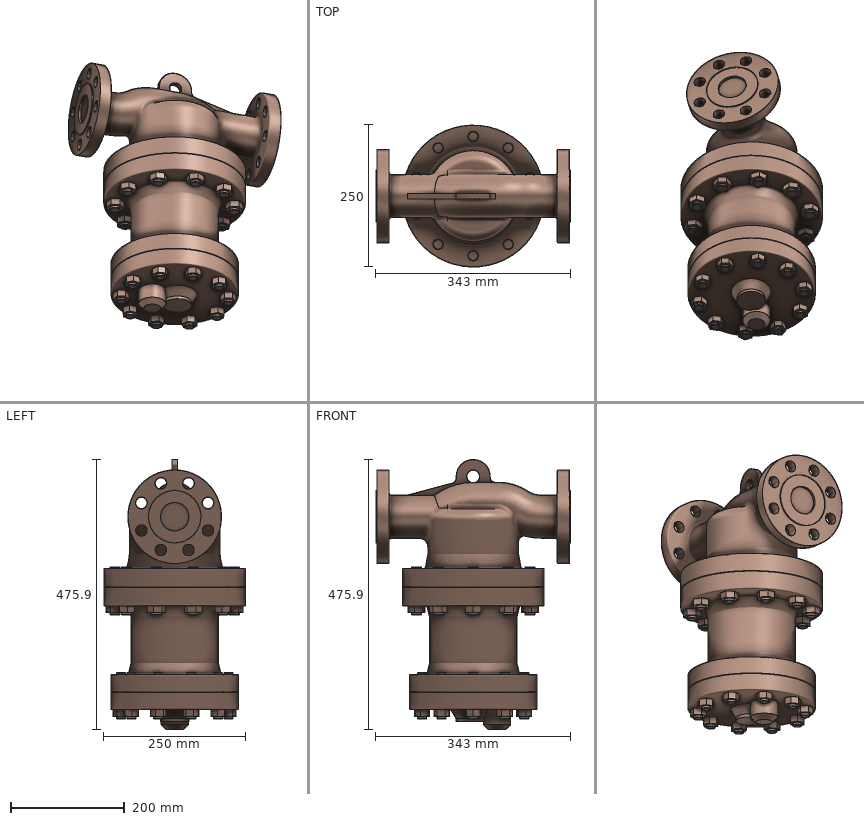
import cadquery as cq
import math


overall_length = 343.0
pipe_radius = 76.0 / 2
pipe_flange_radius = 165.0 / 2
pipe_flange_thickness = 21.5
pipe_flange_edge_fillet = 2.5
pipe_flange_root_fillet = 4.0
raised_face_radius = 92.1 / 2
raised_face_height = 2.0
bore_radius = 50.0 / 2
bore_depth = 5.0
flange_hole_radius = 20.0 / 2
flange_hole_circle_radius = 127.0 / 2
flange_hole_count = 8
pipe_end_x = overall_length / 2 - raised_face_height

arch_rise = 22.6
arch_flat_end_x = 44.0
outlet_bend_end_x = 121.0
outlet_inflection_fraction = 0.4
inlet_bend_radius = 77.0
inlet_bend_angle = 50.0

dome_top_z = 14.0
head_neck_z = -66.5
upper_flange_top_z = -91.0
upper_flange_bottom_z = -157.0
lower_flange_top_z = -278.0
lower_flange_bottom_z = -339.7
neck_height = 19.6

head_radius = 160.0 / 2
head_neck_end_radius = 168.0 / 2
dome_fillet = 20.0
dome_to_arch_fillet = 9.0
dome_to_arch_fillet_start_x = -45.0
head_to_inlet_fillet = 15.0
shell_radius = 154.0 / 2
shell_neck_end_radius = 162.5 / 2
neck_root_fillet = 3.0
upper_flange_radius = 250.0 / 2
lower_flange_radius = 225.0 / 2
flange_edge_fillet = 2.0
gasket_thickness = 1.0
upper_gasket_radius = 185.0 / 2
lower_gasket_radius = 165.0 / 2

bolt_count = 10
upper_bolt_circle_radius = 210.0 / 2
upper_bolt_radius = 18.0 / 2
upper_nut_flats = 27.0
upper_nut_height = 11.5
lower_bolt_circle_radius = 189.0 / 2
lower_bolt_radius = 16.0 / 2
lower_nut_flats = 24.0
lower_nut_height = 12.0
upper_bolt_head_rise = 2.5
lower_bolt_head_rise = 3.2
bolt_tip_length = 4.5
bolt_end_chamfer = 0.8

lug_thickness = 10.0
lug_radius = 30.0
lug_hole_radius = 22.2 / 2
lug_top_z = 100.8
lug_root_fillet = 9.0
lug_rib_start_x = -116.0
lug_rib_angle = 15.0

part_height = 475.95
boss_x = -5.0
boss_radius = 50.0 / 2
boss_flare_radius = 35.0
boss_flare_end_z = -355.5
boss_bottom_z = -361.0
plug_x = 42.0
plug_radius = 48.0 / 2
plug_chamfer = 9.0

fillet_middle_share = 1 - math.sqrt(0.5)

contact_tolerance = 0.001


def cylinder(radius, bottom_z, top_z, x=0.0):
    """Upright cylinder on the plane Y = 0."""
    return cq.Workplane("XY").circle(radius).extrude(top_z - bottom_z).translate((x, 0, bottom_z))


def lies_on(edge, solid):
    """True if the middle of the edge lies on the surface of the solid."""
    middle = cq.Vertex.makeVertex(*edge.positionAt(0.5).toTuple())
    return any(face.distance(middle) < contact_tolerance for face in solid.val().Faces())


def join_with_fillet(first, second, radius, fillet_start_x):
    """Union of two solids with their meeting line rounded wherever it runs beyond fillet_start_x."""
    joined = first.union(second)
    meeting_edges = [
        edge
        for edge in joined.edges().vals()
        if edge.BoundingBox().xmax > fillet_start_x + contact_tolerance
        and lies_on(edge, first)
        and lies_on(edge, second)
    ]
    return cq.Workplane(obj=joined.val().fillet(radius, meeting_edges))


def make_arch():
    """Outlet pipe that leaves the inlet side, crosses above the dome and drops to the outlet axis."""
    half_angle = math.radians(inlet_bend_angle / 2)
    full_angle = math.radians(inlet_bend_angle)
    bend_center_z = arch_rise - inlet_bend_radius
    bend_start = (
        -inlet_bend_radius * math.sin(full_angle),
        bend_center_z + inlet_bend_radius * math.cos(full_angle),
    )
    bend_middle = (
        -inlet_bend_radius * math.sin(half_angle),
        bend_center_z + inlet_bend_radius * math.cos(half_angle),
    )
    inflection = (
        arch_flat_end_x + outlet_inflection_fraction * (outlet_bend_end_x - arch_flat_end_x),
        arch_rise * (1 - outlet_inflection_fraction),
    )
    path = (
        cq.Workplane("XZ")
        .moveTo(*bend_start)
        .threePointArc(bend_middle, (0, arch_rise))
        .lineTo(arch_flat_end_x, arch_rise)
        .tangentArcPoint(inflection, relative=False)
        .tangentArcPoint((outlet_bend_end_x, 0), relative=False)
        .lineTo(pipe_end_x, 0)
    )
    start_plane = cq.Plane(
        origin=(bend_start[0], 0, bend_start[1]),
        xDir=(0, 1, 0),
        normal=(math.cos(full_angle), 0, math.sin(full_angle)),
    )
    return cq.Workplane(start_plane).circle(pipe_radius).sweep(path)


def make_head():
    """Domed head with the inlet running into it and the outlet arching over it."""
    dome = cylinder(head_radius, upper_flange_top_z, dome_top_z).faces(">Z").edges().fillet(dome_fillet)
    inlet = cq.Workplane("YZ").circle(pipe_radius).extrude(-pipe_end_x)
    dome_with_inlet = join_with_fillet(dome, inlet, head_to_inlet_fillet, -pipe_end_x)

    arch = make_arch()
    blend_zone = (
        cq.Workplane("XY")
        .box(overall_length, overall_length, overall_length, centered=(False, True, True))
        .translate((dome_to_arch_fillet_start_x, 0, 0))
    )
    dome_with_arch = join_with_fillet(
        dome.intersect(blend_zone), arch.intersect(blend_zone),
        dome_to_arch_fillet, dome_to_arch_fillet_start_x,
    )
    return dome_with_inlet.union(dome_with_arch).union(arch)


def make_neck(flange_z, small_z, small_radius, end_radius):
    """Conical neck that widens from small_z to a flange face, with a rounded root."""
    toward_shell = math.copysign(1.0, small_z - flange_z)
    root_z = flange_z + toward_shell * neck_root_fillet
    root_radius = end_radius + neck_root_fillet
    arc_offset = neck_root_fillet * fillet_middle_share
    profile = (
        cq.Workplane("XZ")
        .moveTo(0, small_z)
        .lineTo(small_radius, small_z)
        .lineTo(end_radius, root_z)
        .threePointArc((end_radius + arc_offset, flange_z + toward_shell * arc_offset), (root_radius, flange_z))
        .lineTo(0, flange_z)
        .close()
    )
    return profile.revolve(360, (0, 0, 0), (0, 1, 0))


def make_flange_pair(radius, gasket_radius, bottom_z, top_z):
    """Two bolted discs kept apart by a smaller gasket."""
    middle_z = (bottom_z + top_z) / 2
    half_gap = gasket_thickness / 2
    upper = cylinder(radius, middle_z + half_gap, top_z).faces(">Z").edges().fillet(flange_edge_fillet)
    lower = cylinder(radius, bottom_z, middle_z - half_gap).faces("<Z").edges().fillet(flange_edge_fillet)
    gasket = cylinder(gasket_radius, middle_z - half_gap, middle_z + half_gap)
    return upper.union(gasket).union(lower)


def make_bolts(circle_radius, bolt_radius, nut_flats, nut_height, head_rise, bottom_z, top_z):
    """Ring of studs through a flange pair, each with a hexagon nut underneath."""
    tip_z = bottom_z - nut_height - bolt_tip_length
    stud = cylinder(bolt_radius, tip_z, top_z + head_rise, x=circle_radius)
    stud = stud.faces("<Z or >Z").edges().chamfer(bolt_end_chamfer)
    nut_corners = nut_flats / math.cos(math.radians(30))
    nut = cq.Workplane("XY").center(circle_radius, 0).polygon(6, nut_corners).extrude(nut_height)
    bolt = stud.union(nut.translate((0, 0, bottom_z - nut_height)))
    spacing = 360.0 / bolt_count
    bolts = cq.Workplane("XY")
    for index in range(bolt_count):
        bolts = bolts.add(bolt.rotate((0, 0, 0), (0, 0, 1), spacing * (index + 0.5)).val())
    return bolts


def make_pipe_flange(side):
    """End flange with a raised face; side is -1 for the inlet and +1 for the outlet."""
    inner_x = pipe_end_x - pipe_flange_thickness
    root_arc = pipe_flange_root_fillet * fillet_middle_share
    edge_arc = pipe_flange_edge_fillet * fillet_middle_share
    profile = (
        cq.Workplane("XY")
        .moveTo(inner_x - pipe_flange_root_fillet, 0)
        .lineTo(inner_x - pipe_flange_root_fillet, pipe_radius)
        .threePointArc(
            (inner_x - root_arc, pipe_radius + root_arc),
            (inner_x, pipe_radius + pipe_flange_root_fillet),
        )
        .lineTo(inner_x, pipe_flange_radius - pipe_flange_edge_fillet)
        .threePointArc(
            (inner_x + edge_arc, pipe_flange_radius - edge_arc),
            (inner_x + pipe_flange_edge_fillet, pipe_flange_radius),
        )
        .lineTo(pipe_end_x, pipe_flange_radius)
        .lineTo(pipe_end_x, raised_face_radius)
        .lineTo(overall_length / 2, raised_face_radius)
        .lineTo(overall_length / 2, 0)
        .close()
    )
    flange = profile.revolve(360, (0, 0, 0), (1, 0, 0))
    holes = (
        cq.Workplane("YZ")
        .polarArray(flange_hole_circle_radius, 180.0 / flange_hole_count, 360, flange_hole_count)
        .circle(flange_hole_radius)
        .extrude(overall_length / 2)
    )
    flange = flange.cut(holes)
    if side < 0:
        flange = flange.mirror("YZ")
    return flange


def make_bore(side):
    """Shallow round recess in the centre of a raised face."""
    recess = cq.Workplane("YZ").circle(bore_radius).extrude(side * bore_depth)
    return recess.translate((side * (overall_length / 2 - bore_depth), 0, 0))


def make_lug():
    """Lifting eye on the crown of the arch, with a rib sloping down to the inlet pipe."""
    crown_z = arch_rise + pipe_radius
    eye_z = lug_top_z - lug_radius
    rib_end_z = pipe_radius + (-lug_radius - lug_rib_start_x) * math.tan(math.radians(lug_rib_angle))
    arc_offset = lug_root_fillet * fillet_middle_share
    toe_x = lug_radius + lug_root_fillet
    lug = (
        cq.Workplane("XZ")
        .moveTo(lug_rib_start_x, 0)
        .lineTo(lug_rib_start_x, pipe_radius)
        .lineTo(-lug_radius, rib_end_z)
        .lineTo(-lug_radius, eye_z)
        .threePointArc((0, lug_top_z), (lug_radius, eye_z))
        .lineTo(lug_radius, crown_z + lug_root_fillet)
        .threePointArc((lug_radius + arc_offset, crown_z + arc_offset), (toe_x, crown_z))
        .lineTo(toe_x, 0)
        .close()
        .extrude(lug_thickness / 2, both=True)
    )
    rib_corner = cq.selectors.NearestToPointSelector((-lug_radius, 0, rib_end_z))
    lug = lug.edges("|Y").edges(rib_corner).fillet(lug_root_fillet)
    eye_hole = (
        cq.Workplane("XZ").center(0, eye_z).circle(lug_hole_radius).extrude(lug_thickness, both=True)
    )
    return lug.cut(eye_hole)


def make_drain():
    """Flared boss under the bottom cover with the drain plug beside it."""
    plug_bottom_z = lug_top_z - part_height
    boss = (
        cq.Workplane("XZ")
        .moveTo(0, lower_flange_bottom_z)
        .lineTo(boss_flare_radius, lower_flange_bottom_z)
        .lineTo(boss_radius, boss_flare_end_z)
        .lineTo(boss_radius, boss_bottom_z)
        .lineTo(0, boss_bottom_z)
        .close()
        .revolve(360, (0, 0, 0), (0, 1, 0))
        .translate((boss_x, 0, 0))
    )
    plug = cylinder(plug_radius, plug_bottom_z, lower_flange_bottom_z, x=plug_x)
    plug = plug.faces("<Z").edges().chamfer(plug_chamfer)
    return boss.union(plug)


result = make_head()
result = result.union(make_neck(upper_flange_top_z, head_neck_z, head_radius, head_neck_end_radius))
for side in (-1, 1):
    result = result.union(make_pipe_flange(side)).cut(make_bore(side))
result = result.union(make_lug())
result = result.union(
    make_flange_pair(upper_flange_radius, upper_gasket_radius, upper_flange_bottom_z, upper_flange_top_z)
)
result = result.union(cylinder(shell_radius, lower_flange_top_z, upper_flange_bottom_z))
result = result.union(
    make_neck(upper_flange_bottom_z, upper_flange_bottom_z - neck_height, shell_radius, shell_neck_end_radius)
)
result = result.union(
    make_neck(lower_flange_top_z, lower_flange_top_z + neck_height, shell_radius, shell_neck_end_radius)
)
result = result.union(
    make_flange_pair(lower_flange_radius, lower_gasket_radius, lower_flange_bottom_z, lower_flange_top_z)
)
result = result.union(make_drain())
upper_bolts = make_bolts(
    upper_bolt_circle_radius, upper_bolt_radius, upper_nut_flats, upper_nut_height,
    upper_bolt_head_rise, upper_flange_bottom_z, upper_flange_top_z,
)
lower_bolts = make_bolts(
    lower_bolt_circle_radius, lower_bolt_radius, lower_nut_flats, lower_nut_height,
    lower_bolt_head_rise, lower_flange_bottom_z, lower_flange_top_z,
)
for bolt in upper_bolts.vals() + lower_bolts.vals():
    result = result.union(cq.Workplane(obj=bolt))